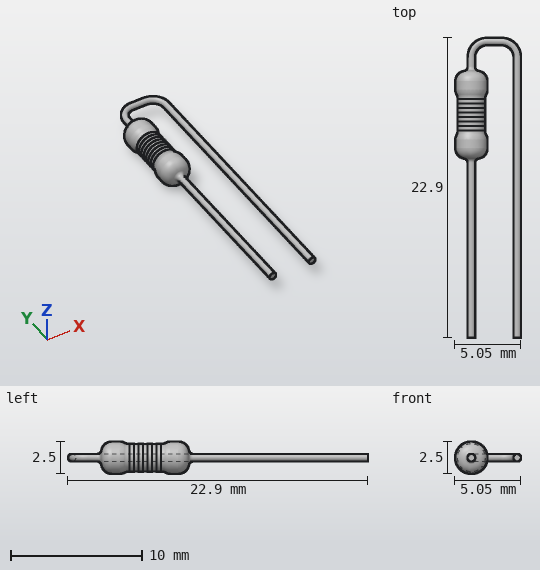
import cadquery as cq
import math

overall_length = 22.9
lead_spacing = 3.5
bend_top = 5.89
wire_end = bend_top - overall_length

wire_diameter = 0.6
wire_radius = wire_diameter / 2
bend_radius = 1.2

cap_diameter = 2.5
cap_radius = cap_diameter / 2
waist_diameter = 2.13
waist_radius = waist_diameter / 2
cap_inner = 1.92
cap_outer = 2.55
dome_radius = 0.82
neck_fillet = 0.3
shoulder_length = 0.69
waist_half_length = cap_inner - shoulder_length

band_diameter = 2.15
band_count = 4
band_width = 0.35
band_pitch = 2 * band_width


def end_cap():
    """Revolved cap on the +Y side, from the waist to the neck."""
    shoulder_step = cap_radius - waist_radius
    shoulder_arc = (shoulder_length**2 + shoulder_step**2) / (4 * shoulder_step)
    shoulder_mid = (cap_radius - shoulder_step / 2, cap_inner - shoulder_length / 2)

    dome_center_x = cap_radius - dome_radius
    center_distance = dome_radius + neck_fillet
    center_offset = wire_radius + neck_fillet - dome_center_x
    neck_rise = math.sqrt(center_distance**2 - center_offset**2)
    dome_share = dome_radius / center_distance
    dome_end = (dome_center_x + center_offset * dome_share, cap_outer + neck_rise * dome_share)
    neck_end = (wire_radius, cap_outer + neck_rise)

    profile = (
        cq.Workplane("XY")
        .moveTo(0, waist_half_length)
        .lineTo(waist_radius, waist_half_length)
        .radiusArc(shoulder_mid, shoulder_arc)
        .radiusArc((cap_radius, cap_inner), -shoulder_arc)
        .lineTo(cap_radius, cap_outer)
        .radiusArc(dome_end, -dome_radius)
        .radiusArc(neck_end, neck_fillet)
        .lineTo(0, neck_end[1])
        .close()
    )
    return profile.revolve(360, (0, 0, 0), (0, 1, 0))


def disc(diameter, middle, width):
    """Cylinder on the body axis, centered on the given Y."""
    return cq.Workplane("XZ", origin=(0, middle + width / 2, 0)).circle(diameter / 2).extrude(width)


def body():
    """Straight waist between two mirrored caps, with the color bands around it."""
    cap = end_cap()
    waist = disc(waist_diameter, 0, 2 * waist_half_length)
    solid = waist.union(cap).union(cap.mirror("XZ"))
    for index in range(band_count):
        band_middle = (index - (band_count - 1) / 2) * band_pitch
        solid = solid.union(disc(band_diameter, band_middle, band_width))
    return solid


def lead_wire():
    """One wire through the body axis, bent back beside the body."""
    crossbar_y = bend_top - wire_radius
    bend_start_y = crossbar_y - bend_radius
    path = (
        cq.Workplane("XY")
        .moveTo(0, wire_end)
        .lineTo(0, bend_start_y)
        .radiusArc((bend_radius, crossbar_y), bend_radius)
        .lineTo(lead_spacing - bend_radius, crossbar_y)
        .radiusArc((lead_spacing, bend_start_y), bend_radius)
        .lineTo(lead_spacing, wire_end)
    )
    section = cq.Workplane("XZ", origin=(0, wire_end, 0)).circle(wire_radius)
    return section.sweep(path)


result = body().union(lead_wire())